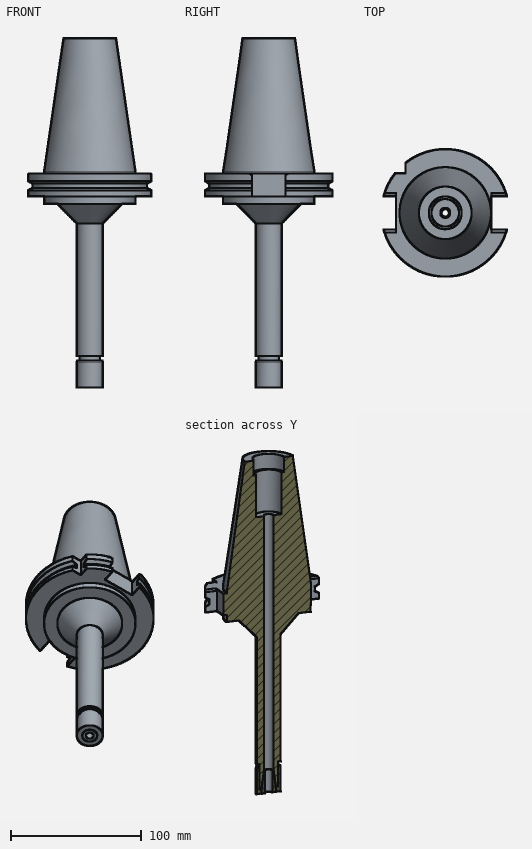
import cadquery as cq
import math


total_length = 266.8
taper_length = 101.5
taper_large_d = 70.0
taper_ratio = 7 / 24
taper_small_d = taper_large_d - taper_ratio * taper_length
flange_d = 97.5
flange_top_z = -1.5
flange_bottom_z = -19.2
collar_d = 70.0
collar_bottom_z = -24.8
cone_top_d = 49.5
cone_bottom_z = -39.7
shank_d = 20.0
bottom_z = taper_length - total_length

groove_d = 91.2
groove_top_z = -9.3
groove_bottom_z = -12.8
groove_angle = 30.0
groove_depth = (flange_d - groove_d) / 2
groove_slope = groove_depth * math.tan(math.radians(groove_angle))

slot_width = 25.3
slot_floor_left = 37.5
slot_floor_right = 35.2
slot_chamfer_width = 2.5
slot_chamfer_height = 1.3
notch_x = 30.5
notch_y = 30.5

counterbore_d = 25.0
counterbore_depth = 12.0
draw_bore_d = 21.0
draw_bore_depth = 45.3
coolant_d = 7.5

nut_d = shank_d
nut_length = 20.8
nut_bevel_height = 1.5
nut_bevel_width = 0.3
nut_top_z = bottom_z + nut_length
neck_d = 16.0
neck_exposed_length = 3.2
neck_top_z = nut_top_z + neck_exposed_length
nut_floor = 4.0
neck_bottom_z = bottom_z + nut_floor

collet_d = 11.5
collet_bore_d = 6.0
collet_half_angle = 8.0
collet_length = 18.0
collet_top_z = bottom_z + collet_length
collet_taper_length = collet_top_z - neck_bottom_z
collet_top_d = collet_d - 2 * collet_taper_length * math.tan(math.radians(collet_half_angle))


def cylinder(diameter, z_low, z_high):
    """Cylinder on the Z axis between two heights."""
    return cq.Workplane("XY").workplane(offset=z_low).circle(diameter / 2).extrude(z_high - z_low)


def revolve(points):
    """Turn a closed (radius, z) outline about the Z axis."""
    return cq.Workplane("XZ").polyline(points).close().revolve(360, (0, 0, 0), (0, 1, 0))


def box(x_range, y_range, z_range):
    """Axis-aligned block given by its limits."""
    size = [high - low for low, high in (x_range, y_range, z_range)]
    corner = (x_range[0], y_range[0], z_range[0])
    return cq.Workplane("XY").box(*size, centered=False).translate(corner)


def collet_envelope():
    """Outside shape of the collet: a straight nose with a slim taper above it."""
    return revolve([
        (0, bottom_z),
        (collet_d / 2, bottom_z),
        (collet_d / 2, neck_bottom_z),
        (collet_top_d / 2, collet_top_z),
        (0, collet_top_z),
    ])


def turned_blank():
    """Turned outside of the holder, with the gripper groove."""
    return revolve([
        (0, taper_length),
        (taper_small_d / 2, taper_length),
        (taper_large_d / 2, 0),
        (taper_large_d / 2, flange_top_z),
        (flange_d / 2, flange_top_z),
        (flange_d / 2, groove_top_z + groove_slope),
        (groove_d / 2, groove_top_z),
        (groove_d / 2, groove_bottom_z),
        (flange_d / 2, groove_bottom_z - groove_slope),
        (flange_d / 2, flange_bottom_z),
        (collar_d / 2, flange_bottom_z),
        (collar_d / 2, collar_bottom_z),
        (cone_top_d / 2, collar_bottom_z),
        (shank_d / 2, cone_bottom_z),
        (shank_d / 2, neck_top_z),
        (neck_d / 2, neck_top_z),
        (neck_d / 2, neck_bottom_z),
        (0, neck_bottom_z),
    ])


def drive_slot(side, floor_distance):
    """Slot through the flange rim on the side -1 or +1 of X, its upper edges chamfered."""
    half = slot_width / 2
    half_top = half + slot_chamfer_width
    length = flange_d / 2 - floor_distance
    slot = (
        cq.Workplane("YZ")
        .polyline([
            (-half, flange_bottom_z),
            (half, flange_bottom_z),
            (half, flange_top_z - slot_chamfer_height),
            (half_top, flange_top_z),
            (-half_top, flange_top_z),
            (-half, flange_top_z - slot_chamfer_height),
        ])
        .close()
        .extrude(side * length)
    )
    return slot.translate((side * floor_distance, 0, 0))


def orientation_notch():
    """Square notch in the flange rim at the -X +Y corner."""
    rim = flange_d / 2
    return box((-rim, -notch_x), (notch_y, rim), (flange_bottom_z, flange_top_z))


def make_holder():
    holder = turned_blank()
    holder = holder.cut(drive_slot(-1, slot_floor_left))
    holder = holder.cut(drive_slot(1, slot_floor_right))
    holder = holder.cut(orientation_notch())
    holder = holder.cut(cylinder(counterbore_d, taper_length - counterbore_depth, taper_length))
    holder = holder.cut(cylinder(draw_bore_d, taper_length - draw_bore_depth, taper_length))
    holder = holder.cut(cylinder(coolant_d, bottom_z, taper_length))
    return holder.cut(collet_envelope())


def make_nut():
    """Cap over the holder neck, beveled at its top, with a hole in its floor for the collet nose."""
    nut_radius = nut_d / 2
    neck_radius = neck_d / 2
    hole_radius = collet_d / 2
    return revolve([
        (hole_radius, bottom_z),
        (nut_radius, bottom_z),
        (nut_radius, nut_top_z - nut_bevel_height),
        (nut_radius - nut_bevel_width, nut_top_z),
        (neck_radius, nut_top_z),
        (neck_radius, neck_bottom_z),
        (hole_radius, neck_bottom_z),
    ])


def make_collet():
    return collet_envelope().cut(cylinder(collet_bore_d, bottom_z, collet_top_z))


holder = make_holder()
nut = make_nut()
collet = make_collet()

result = cq.Compound.makeCompound([holder.val(), nut.val(), collet.val()])